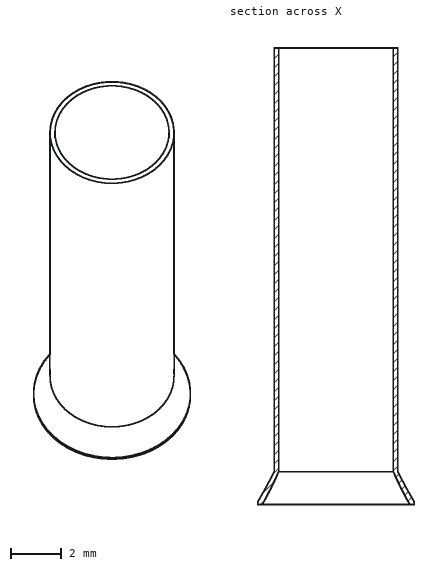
import cadquery as cq

length = 18.0
tube_diameter = 4.9
wall = 0.2
flare_diameter = 6.2
flare_height = 1.3
rim_height = 0.1

tube_radius = tube_diameter / 2
bore_radius = tube_radius - wall
rim_radius = flare_diameter / 2
mouth_radius = rim_radius - wall

wall_section = (
    cq.Workplane("XZ")
    .moveTo(mouth_radius, 0)
    .lineTo(rim_radius, 0)
    .lineTo(rim_radius, rim_height)
    .lineTo(tube_radius, flare_height)
    .lineTo(tube_radius, length)
    .lineTo(bore_radius, length)
    .lineTo(bore_radius, flare_height)
    .close()
)

result = wall_section.revolve(360, (0, 0, 0), (0, 1, 0))